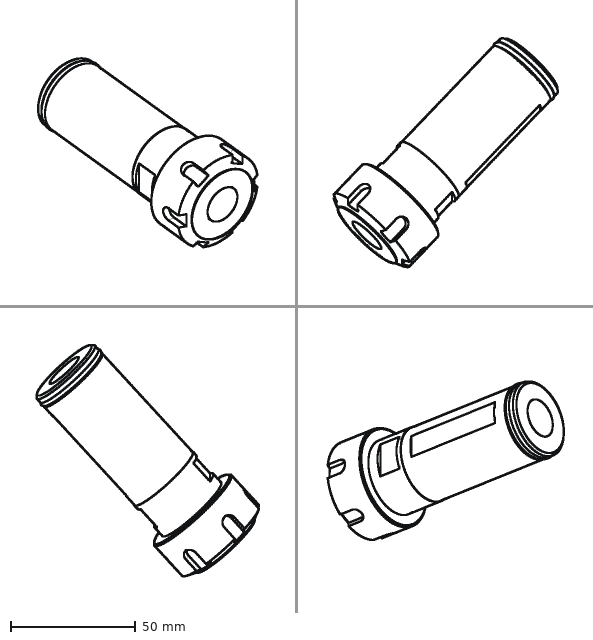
import cadquery as cq

total_length = 97.0

shank_diameter = 31.7
neck_diameter = 32.0
bore_diameter = 15.7
neck_start = 59.85
end_chamfer_length = 1.0
end_chamfer_depth = 1.1

groove_start = 3.0
groove_width = 2.3
groove_diameter = 28.5
ring_section_diameter = 1.9

long_flat_start = 10.9
long_flat_end = 54.9
long_flat_offset = 15.1

wrench_flat_start = 62.0
wrench_flat_end = 72.0
wrench_flat_width = 28.5

nut_diameter = 42.0
nut_start = 76.8
nut_cone_start = 94.2
nut_end = 96.6
nut_rear_chamfer_length = 0.6
nut_rear_chamfer_depth = 0.7

slot_count = 6
slot_width = 6.1
slot_start = 84.9
slot_floor_offset = 17.8


def turned(outline):
    """Revolve a closed (x, radius) outline about the X axis."""
    return cq.Workplane("XY").polyline(outline).close().revolve(360, (0, 0, 0), (1, 0, 0))


def side_cutter(start, end, offset, direction):
    """Block that trims the shank or neck to a flat at the given distance along +Y or -Y."""
    depth = neck_diameter
    return cq.Workplane("XY").box(end - start, depth, neck_diameter).translate(
        ((start + end) / 2, direction * (offset + depth / 2), 0)
    )


def make_shank():
    bore_radius = bore_diameter / 2
    shank_radius = shank_diameter / 2
    neck_radius = neck_diameter / 2
    groove_radius = groove_diameter / 2
    groove_end = groove_start + groove_width
    shank = turned([
        (0, bore_radius),
        (0, shank_radius - end_chamfer_depth),
        (end_chamfer_length, shank_radius),
        (groove_start, shank_radius),
        (groove_start, groove_radius),
        (groove_end, groove_radius),
        (groove_end, shank_radius),
        (neck_start, shank_radius),
        (neck_start, neck_radius),
        (total_length, neck_radius),
        (total_length, bore_radius),
    ])
    shank = shank.cut(side_cutter(long_flat_start, long_flat_end, long_flat_offset, 1))
    for direction in (-1, 1):
        shank = shank.cut(
            side_cutter(wrench_flat_start, wrench_flat_end, wrench_flat_width / 2, direction)
        )
    return shank


def make_o_ring():
    """Round-section ring resting on the groove floor and its front wall."""
    section_radius = ring_section_diameter / 2
    center_x = groove_start + section_radius
    center_radius = groove_diameter / 2 + section_radius
    return (
        cq.Workplane("XY")
        .center(center_x, center_radius)
        .circle(section_radius)
        .revolve(360, (0, -center_radius, 0), (1, -center_radius, 0))
    )


def slot_cutter():
    """Flat-floored slot on the -Y side, rounded at its closed end and open at the nut face."""
    slot_radius = slot_width / 2
    arc_center_x = slot_start + slot_radius
    return (
        cq.Workplane("XZ", origin=(0, -slot_floor_offset, 0))
        .moveTo(total_length, -slot_radius)
        .lineTo(arc_center_x, -slot_radius)
        .threePointArc((slot_start, 0), (arc_center_x, slot_radius))
        .lineTo(total_length, slot_radius)
        .close()
        .extrude(nut_diameter / 2)
    )


def make_nut():
    hole_radius = neck_diameter / 2
    nut_radius = nut_diameter / 2
    nut = turned([
        (nut_start, hole_radius),
        (nut_start, nut_radius - nut_rear_chamfer_depth),
        (nut_start + nut_rear_chamfer_length, nut_radius),
        (nut_cone_start, nut_radius),
        (nut_end, hole_radius),
    ])
    for index in range(slot_count):
        angle = index * 360 / slot_count
        nut = nut.cut(slot_cutter().rotate((0, 0, 0), (1, 0, 0), angle))
    return nut


shank = make_shank()
o_ring = make_o_ring()
nut = make_nut()

result = cq.Compound.makeCompound([shank.solids().val(), o_ring.val(), nut.solids().val()])